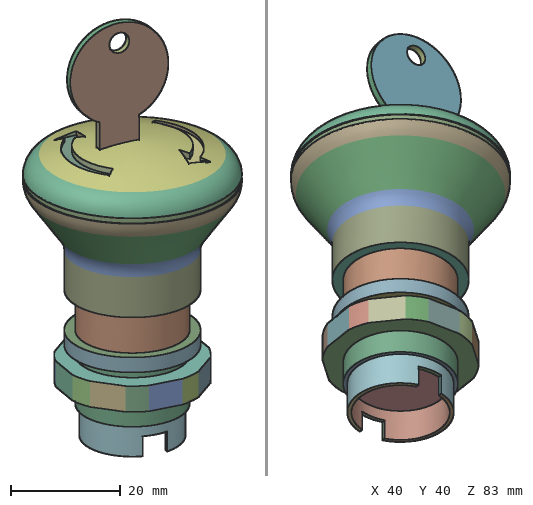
import cadquery as cq
import math

skirt_radius = 9.7
skirt_top = 6.3
skirt_wall = 0.75
slot_width = 5.0
slot_height = 4.0
barrel_radius = 10.45
barrel_top = 29.0
collar_radius = 12.45
collar_bottom = 18.0
collar_top = 21.0
neck_radius = collar_radius
neck_top = 37.0

head_radius = 20.0
flare_arc_height = 3.0
flare_angle = 35.0
cone_bottom = neck_top + flare_arc_height
cone_top = 48.0
rim_bottom = cone_top + flare_arc_height
rim_top = 52.0
rim_groove_depth = 0.25
dome_radius = 17.0
dome_edge = 55.95
dome_top = 59.0

arrow_radius = 12.0
arrow_width = 2.0
arrow_head_width = 6.0
arrow_head_length = 3.5
arrow_sweep = 45.0
arrow_floor = 56.6

nut_sides = 8
nut_across_flats = 27.7
nut_corner_radius = 14.3
nut_bottom = 10.95
nut_top = 16.1

key_thickness = 1.4
key_offset = -3.0
key_bow_radius = 10.0
key_top = 83.0
key_blade_width = 8.0
key_blade_bottom = 56.6
key_hole_radius = 2.0
key_hole_drop = 4.0


def polar(radius, degrees):
    """Point at a radius and an angle about the Z axis."""
    angle = math.radians(degrees)
    return (radius * math.cos(angle), radius * math.sin(angle))


def make_body_blank():
    """Turned body with barrel, collar, neck and mushroom head."""
    flare_offset = flare_arc_height * math.tan(math.radians(flare_angle / 2))
    groove_radius = head_radius - rim_groove_depth
    sphere_radius = (dome_radius**2 + (dome_top - dome_edge) ** 2) / (2 * (dome_top - dome_edge))
    sphere_height = dome_top - sphere_radius
    mid_radius = dome_radius / 2
    mid_height = sphere_height + math.sqrt(sphere_radius**2 - mid_radius**2)
    profile = (
        cq.Workplane("XZ")
        .lineTo(skirt_radius, 0)
        .lineTo(skirt_radius, skirt_top)
        .lineTo(barrel_radius, skirt_top)
        .lineTo(barrel_radius, collar_bottom)
        .lineTo(collar_radius, collar_bottom)
        .lineTo(collar_radius, collar_top)
        .lineTo(barrel_radius, collar_top)
        .lineTo(barrel_radius, barrel_top)
        .lineTo(neck_radius, barrel_top)
        .lineTo(neck_radius, neck_top)
        .tangentArcPoint((neck_radius + flare_offset, cone_bottom), relative=False)
        .lineTo(head_radius - flare_offset, cone_top)
        .tangentArcPoint((head_radius, rim_bottom), relative=False)
        .lineTo(groove_radius, rim_bottom)
        .lineTo(groove_radius, rim_top)
        .lineTo(head_radius, rim_top)
    )
    dome_end = cq.Vector(dome_radius, 0, dome_edge)
    rim_end = cq.Vector(head_radius, 0, rim_top)
    tangent = cq.Vector(dome_edge - sphere_height, 0, -dome_radius)
    shoulder = cq.Edge.makeTangentArc(dome_end, tangent, rim_end)
    shoulder_mid = shoulder.positionAt(0.5)
    return (
        profile.threePointArc((shoulder_mid.x, shoulder_mid.z), (dome_radius, dome_edge))
        .threePointArc((mid_radius, mid_height), (0, dome_top))
        .close()
        .revolve(360, (0, 0, 0), (0, 1, 0))
    )


def make_skirt_cavity():
    """Open bore inside the skirt and the slot that crosses it along X."""
    bore = cq.Workplane("XY").circle(skirt_radius - skirt_wall).extrude(skirt_top)
    slot = cq.Workplane("XY").rect(2 * barrel_radius, slot_width).extrude(slot_height)
    return bore.union(slot)


def make_arrow_recess():
    """One clockwise arrow, from the recess floor to above the dome."""
    inner = arrow_radius - arrow_width / 2
    outer = arrow_radius + arrow_width / 2
    start = 90 + arrow_sweep
    end = 90 - arrow_sweep
    base_x, base_y = polar(arrow_radius, end)
    ahead_x, ahead_y = polar(arrow_head_length, end - 90)
    return (
        cq.Workplane("XY", origin=(0, 0, arrow_floor))
        .moveTo(*polar(inner, start))
        .lineTo(*polar(outer, start))
        .threePointArc((0, outer), polar(outer, end))
        .lineTo(*polar(arrow_radius + arrow_head_width / 2, end))
        .lineTo(base_x + ahead_x, base_y + ahead_y)
        .lineTo(*polar(arrow_radius - arrow_head_width / 2, end))
        .lineTo(*polar(inner, end))
        .threePointArc((0, inner), polar(inner, start))
        .close()
        .extrude(dome_top - arrow_floor)
    )


def make_key():
    """Flat key: round bow with a hole, and a blade seated in the head."""
    bow_height = key_top - key_bow_radius
    blade_height = bow_height - key_blade_bottom
    middle = cq.Workplane("YZ", origin=(0, key_offset, 0))
    bow = middle.center(0, bow_height).circle(key_bow_radius).extrude(key_thickness / 2, both=True)
    blade = (
        middle.center(0, key_blade_bottom + blade_height / 2)
        .rect(key_blade_width, blade_height)
        .extrude(key_thickness / 2, both=True)
    )
    hole = (
        middle.center(0, key_top - key_hole_drop)
        .circle(key_hole_radius)
        .extrude(key_thickness, both=True)
    )
    return bow.union(blade).cut(hole)


def make_nut():
    """Octagonal nut with rounded corners, bored to fit the barrel."""
    height = nut_top - nut_bottom
    base = cq.Workplane("XY", origin=(0, 0, nut_bottom))
    half_turn = 180 / nut_sides
    across_corners = nut_across_flats / math.cos(math.radians(half_turn))
    prism = (
        base.polygon(nut_sides, across_corners)
        .extrude(height)
        .rotate((0, 0, 0), (0, 0, 1), half_turn)
    )
    rounding = base.circle(nut_corner_radius).extrude(height)
    bore = base.circle(barrel_radius).extrude(height)
    return prism.intersect(rounding).cut(bore)


def make_body(key):
    """Body with skirt cavity, arrows and a seat that fits the key."""
    body = make_body_blank().cut(make_skirt_cavity())
    for turn in (0, 180):
        body = body.cut(make_arrow_recess().rotate((0, 0, 0), (0, 0, 1), turn))
    return body.cut(key)


key = make_key()
nut = make_nut()
body = make_body(key)

result = cq.Compound.makeCompound([part.solids().val() for part in (body, nut, key)])